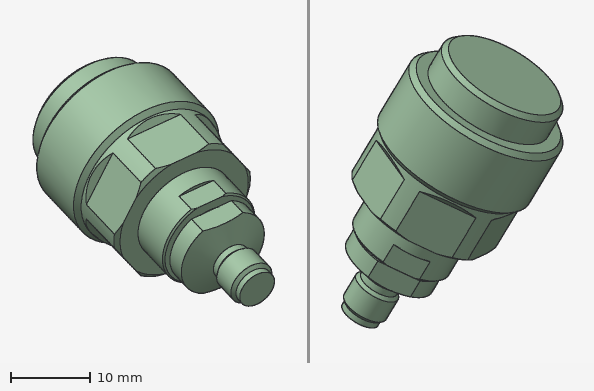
import cadquery as cq

LENGTH = 38.85
NOSE_END = 4.27
NUT_START = 4.35
SLEEVE_END = 14.18
NUT_END = 22.15
SHOULDER_FLAT_START = 24.95
SHOULDER_END = 27.95
COLLAR_START = 28.4
COLLAR_END = 31.0
CONE_END = 32.82
THREAD_START = 33.8
THREAD_END = 38.0

SLEEVE_RADIUS = 11.03
HEX_CORNER_RADIUS = 10.35
NOSE_RADIUS = 8.7
SHOULDER_RADIUS = 7.0
COLLAR_RADIUS = 6.3
GROOVE_RADIUS = 5.13
THREAD_RADIUS = 3.1
NECK_RADIUS = 2.65

NOSE_CHAMFER = 0.65
SLEEVE_CHAMFER = SLEEVE_RADIUS - HEX_CORNER_RADIUS
NUT_END_CHAMFER_LENGTH = 0.45
NUT_END_CHAMFER_DEPTH = 0.62
SHOULDER_CHAMFER = 0.25
THREAD_CHAMFER = THREAD_RADIUS - NECK_RADIUS

HEX_FLAT_DISTANCE = 9.5
SHOULDER_FLAT_DISTANCE = 6.5
COLLAR_FLAT_DISTANCE = 5.5

HEX_FLAT_START = 15.25
HEX_SIDES = 6
CUT_MARGIN = 1.95


def revolve_about_x(profile):
    """Revolve a closed list of (x, radius) points about the X axis."""
    return cq.Workplane("XY").polyline(profile).close().revolve(360, (0, 0, 0), (1, 0, 0))


def flat_cutter(start, end, distance, reach):
    """Block that leaves a flat facing +Z at the given distance from the axis."""
    block = cq.Workplane("XY").box(end - start, 2 * reach, reach - distance, centered=(False, True, False))
    return block.translate((start, 0, distance))


def cut_opposite_flats(body, start, end, distance, reach):
    """Cut a pair of parallel flats facing +Z and -Z."""
    cutter = flat_cutter(start, end, distance, reach)
    for angle in (0, 180):
        body = body.cut(cutter.rotate((0, 0, 0), (1, 0, 0), angle))
    return body


def hex_flat_cutter():
    """Cutter for one hexagon flat, with a 45 degree run-out towards the sleeve."""
    top = HEX_CORNER_RADIUS + CUT_MARGIN
    rise = top - HEX_FLAT_DISTANCE
    end = NUT_END + CUT_MARGIN
    return (
        cq.Workplane("XZ")
        .polyline(
            [
                (HEX_FLAT_START, HEX_FLAT_DISTANCE),
                (end, HEX_FLAT_DISTANCE),
                (end, top),
                (HEX_FLAT_START - rise, top),
            ]
        )
        .close()
        .extrude(HEX_CORNER_RADIUS, both=True)
    )


def make_hex_section():
    """Round bar with six flats and a chamfered end, bored for the adapter."""
    section = revolve_about_x(
        [
            (SLEEVE_END, SHOULDER_RADIUS),
            (SLEEVE_END, HEX_CORNER_RADIUS),
            (NUT_END - NUT_END_CHAMFER_LENGTH, HEX_CORNER_RADIUS),
            (NUT_END, HEX_CORNER_RADIUS - NUT_END_CHAMFER_DEPTH),
            (NUT_END, SHOULDER_RADIUS),
        ]
    )
    cutter = hex_flat_cutter()
    for side in range(HEX_SIDES):
        section = section.cut(cutter.rotate((0, 0, 0), (1, 0, 0), side * 360 / HEX_SIDES))
    return section


def make_coupling_nut():
    """Round sleeve chamfered at both ends, carrying the hexagon section."""
    sleeve = revolve_about_x(
        [
            (NUT_START, SHOULDER_RADIUS),
            (NUT_START, SLEEVE_RADIUS - SLEEVE_CHAMFER),
            (NUT_START + SLEEVE_CHAMFER, SLEEVE_RADIUS),
            (SLEEVE_END - SLEEVE_CHAMFER, SLEEVE_RADIUS),
            (SLEEVE_END, HEX_CORNER_RADIUS),
            (SLEEVE_END, SHOULDER_RADIUS),
        ]
    )
    return sleeve.union(make_hex_section())


def make_adapter():
    """Turned core running through the nut, from the plug nose to the threaded socket."""
    core = revolve_about_x(
        [
            (0, 0),
            (0, NOSE_RADIUS - NOSE_CHAMFER),
            (NOSE_CHAMFER, NOSE_RADIUS),
            (NOSE_END, NOSE_RADIUS),
            (NOSE_END, SHOULDER_RADIUS),
            (SHOULDER_END - SHOULDER_CHAMFER, SHOULDER_RADIUS),
            (SHOULDER_END, SHOULDER_RADIUS - SHOULDER_CHAMFER),
            (SHOULDER_END, GROOVE_RADIUS),
            (COLLAR_START, GROOVE_RADIUS),
            (COLLAR_START, COLLAR_RADIUS),
            (COLLAR_END, COLLAR_RADIUS),
            (CONE_END, NECK_RADIUS),
            (THREAD_START, NECK_RADIUS),
            (THREAD_START + THREAD_CHAMFER, THREAD_RADIUS),
            (THREAD_END - THREAD_CHAMFER, THREAD_RADIUS),
            (THREAD_END, NECK_RADIUS),
            (LENGTH, NECK_RADIUS),
            (LENGTH, 0),
        ]
    )
    reach = SHOULDER_RADIUS + CUT_MARGIN
    core = cut_opposite_flats(core, SHOULDER_FLAT_START, SHOULDER_END, SHOULDER_FLAT_DISTANCE, reach)
    return cut_opposite_flats(core, COLLAR_START, CONE_END, COLLAR_FLAT_DISTANCE, reach)


coupling_nut = make_coupling_nut()
adapter = make_adapter()

result = cq.Compound.makeCompound([coupling_nut.val(), adapter.val()])